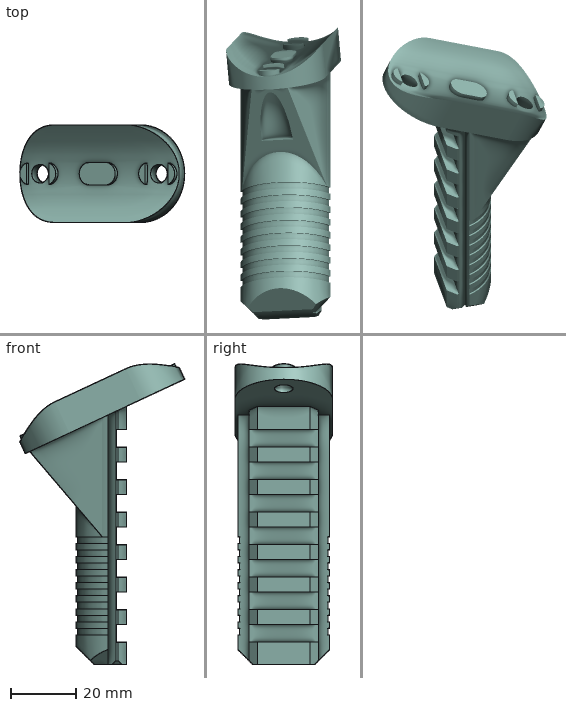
import cadquery as cq
import math


grip_radius = 15.0
grip_depth = 9.9
grip_axis_x = grip_radius - grip_depth
column_height = 101.6

groove_depth = 0.5
grooves_bottom = 9.1
grooves_top = 39.3
groove_count = 8
groove_height = (grooves_top - grooves_bottom) / (2 * groove_count - 1)

front_chamfer = 5.7
end_half_width = 9.4
chamfer_reach = 18.5

rail_half_width = 10.6
rail_flat_start = 2.4
rail_flat_end = 3.1
rail_depth = 5.7
slot_count = 7
slot_bottom = 6.9
slot_width = 5.4
slot_pitch = 10.0
slot_floor_x = 2.6

plate_tilt = 25.0
plate_width = 30.0
plate_length = 54.0
plate_mid_x = -0.9
plate_mid_z = 76.2
saddle_radius = 20.3
plate_thickness = 4.0
plate_half_width = plate_width / 2
plate_edge_height = plate_thickness + saddle_radius - math.sqrt(saddle_radius**2 - plate_half_width**2)

hole_diameter = 5.6
hole_offset = 20.1
clearance_diameter = 10.0
clearance_depth = 17.1

pad_length = 12.2
pad_width = 7.0
pad_height = 1.7
pad_root = 0.9
pad_gap = 7.8

gusset_back_x = -1.8
gusset_tip_x = -24.3
gusset_tip_z = 65.8
gusset_tip_half_width = 5.5
gusset_back_half_width = math.sqrt(grip_radius**2 - (gusset_back_x - grip_axis_x) ** 2)

tilt = math.radians(plate_tilt)
plate_plane = cq.Plane(
    origin=(plate_mid_x, 0, plate_mid_z),
    xDir=(math.cos(tilt), 0, math.sin(tilt)),
    normal=(-math.sin(tilt), 0, math.cos(tilt)),
)


def on_plate(height=0.0):
    """Workplane parallel to the plate underside, at a height above it."""
    return cq.Workplane(plate_plane).workplane(offset=height)


def d_column(radius, bottom, height):
    """Column with a round front about the grip axis and a flat back at X = 0."""
    half_width = math.sqrt(radius**2 - grip_axis_x**2)
    return (
        cq.Workplane("XY", origin=(0, 0, bottom))
        .moveTo(0, -half_width)
        .threePointArc((grip_axis_x - radius, 0), (0, half_width))
        .close()
        .extrude(height)
    )


def make_grip():
    grip = d_column(grip_radius, 0, column_height)
    for i in range(groove_count):
        bottom = grooves_bottom + 2 * i * groove_height
        ring = d_column(grip_radius, bottom, groove_height)
        core = d_column(grip_radius - groove_depth, bottom, groove_height)
        grip = grip.cut(ring.cut(core))
    return grip


def make_rail():
    base_half_width = rail_half_width - rail_flat_start
    crest_half_width = rail_half_width - (rail_depth - rail_flat_end)
    rail = (
        cq.Workplane("XY")
        .moveTo(0, base_half_width)
        .lineTo(rail_flat_start, rail_half_width)
        .lineTo(rail_flat_end, rail_half_width)
        .lineTo(rail_depth, crest_half_width)
        .lineTo(rail_depth, -crest_half_width)
        .lineTo(rail_flat_end, -rail_half_width)
        .lineTo(rail_flat_start, -rail_half_width)
        .lineTo(0, -base_half_width)
        .close()
        .extrude(column_height)
    )
    for i in range(slot_count):
        slot = cq.Workplane("XY").box(
            rail_depth, 2 * rail_half_width, slot_width, centered=(False, True, False)
        )
        rail = rail.cut(slot.translate((slot_floor_x, 0, slot_bottom + i * slot_pitch)))
    return rail


def make_gusset():
    """Tapered column whose underside slopes from the grip out to the plate."""
    outline = (
        cq.Workplane("XY")
        .moveTo(gusset_back_x, gusset_back_half_width)
        .lineTo(gusset_tip_x, gusset_tip_half_width)
        .lineTo(gusset_tip_x, -gusset_tip_half_width)
        .lineTo(gusset_back_x, -gusset_back_half_width)
        .close()
        .extrude(column_height)
    )
    side_profile = (
        cq.Workplane("XZ")
        .moveTo(gusset_back_x, grooves_top)
        .lineTo(gusset_tip_x, gusset_tip_z)
        .lineTo(gusset_tip_x, column_height)
        .lineTo(gusset_back_x, column_height)
        .close()
        .extrude(plate_half_width, both=True)
    )
    return outline.intersect(side_profile)


def chamfer_lower_end(body):
    front = (
        cq.Workplane("XZ")
        .moveTo(-grip_depth, 0)
        .lineTo(front_chamfer - grip_depth, 0)
        .lineTo(-grip_depth, front_chamfer)
        .close()
        .extrude(plate_half_width, both=True)
    )
    body = body.cut(front)
    for side in (1, -1):
        corner = (
            cq.Workplane("YZ")
            .moveTo(side * end_half_width, 0)
            .lineTo(side * (end_half_width + chamfer_reach), chamfer_reach)
            .lineTo(side * (end_half_width + chamfer_reach), 0)
            .close()
            .extrude(chamfer_reach, both=True)
        )
        body = body.cut(corner)
    return body


def make_plate():
    plate = on_plate().slot2D(plate_length, plate_width).extrude(plate_edge_height)
    hollow = (
        cq.Workplane("YZ")
        .center(0, plate_thickness + saddle_radius)
        .circle(saddle_radius)
        .extrude(plate_length, both=True)
    )
    plate = plate.cut(cq.Workplane(hollow.val().moved(cq.Location(plate_plane))))

    pad_base = on_plate(plate_thickness - pad_root)
    pad_extrusion = pad_root + pad_height
    plate = plate.union(pad_base.slot2D(pad_length, pad_width).extrude(pad_extrusion))
    split_pads = (
        pad_base.pushPoints([(-hole_offset, 0), (hole_offset, 0)])
        .slot2D(pad_length, pad_width)
        .extrude(pad_extrusion)
    )
    gaps = (
        pad_base.pushPoints([(-hole_offset, 0), (hole_offset, 0)])
        .rect(pad_gap, pad_width)
        .extrude(pad_extrusion)
    )
    plate = plate.union(split_pads.cut(gaps))

    holes = (
        on_plate()
        .pushPoints([(-hole_offset, 0), (hole_offset, 0)])
        .circle(hole_diameter / 2)
        .extrude(plate_edge_height)
    )
    return plate.cut(holes)


body = make_grip().union(make_rail())
body = chamfer_lower_end(body).union(make_gusset())

above_plate = on_plate().rect(2 * column_height, 2 * column_height).extrude(column_height)
body = body.cut(above_plate)
clearance = on_plate().center(-hole_offset, 0).circle(clearance_diameter / 2).extrude(-clearance_depth)
body = body.cut(clearance)

result = body.union(make_plate())